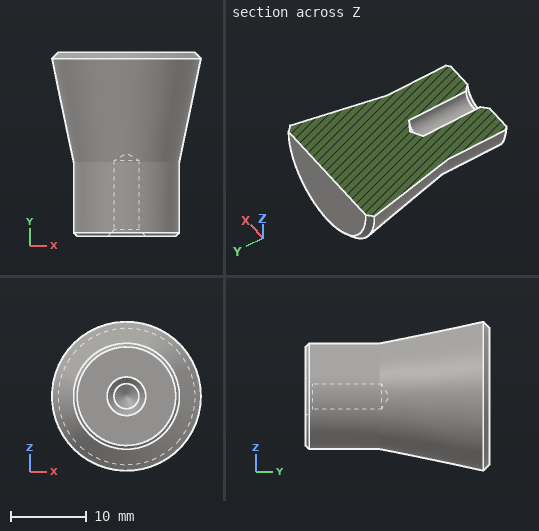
import cadquery as cq
import math

length = 24.3
head_radius = 19.7 / 2
neck_radius = 14.0 / 2
neck_length = 9.8
neck_chamfer = 0.49
head_chamfer = 0.83

hole_radius = 3.3 / 2
hole_depth = 10.0
countersink_radius = 5.1 / 2
countersink_angle = 90.0
drill_point_angle = 118.0

front = -length / 2
back = length / 2


def cone_height(radius_change, full_angle):
    return radius_change / math.tan(math.radians(full_angle / 2))


def revolve_profile(points):
    """Turn a closed (radius, y) outline about the Y axis."""
    return cq.Workplane("XY").polyline(points).close().revolve(360, (0, 0, 0), (0, 1, 0))


def make_body():
    return revolve_profile([
        (0, front),
        (neck_radius - neck_chamfer, front),
        (neck_radius, front + neck_chamfer),
        (neck_radius, front + neck_length),
        (head_radius, back - head_chamfer),
        (head_radius - head_chamfer, back),
        (0, back),
    ])


def make_hole():
    countersink_depth = cone_height(countersink_radius - hole_radius, countersink_angle)
    point_depth = cone_height(hole_radius, drill_point_angle)
    return revolve_profile([
        (0, front),
        (countersink_radius, front),
        (hole_radius, front + countersink_depth),
        (hole_radius, front + hole_depth),
        (0, front + hole_depth + point_depth),
    ])


result = make_body().cut(make_hole())